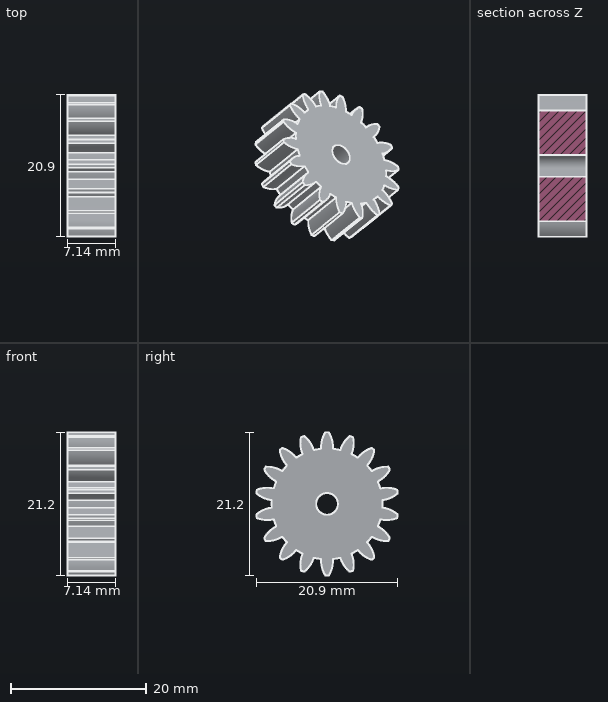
import cadquery as cq
import math

INCH = 25.4
TOOTH_COUNT = 18
DIAMETRAL_PITCH = 24 / INCH
FACE_WIDTH = 9 / 32 * INCH
BORE_DIAMETER = INCH / 8

MODULE = 1 / DIAMETRAL_PITCH
ADDENDUM = MODULE
DEDENDUM = 1.25 * MODULE
PITCH_RADIUS = TOOTH_COUNT * MODULE / 2
TIP_RADIUS = PITCH_RADIUS + ADDENDUM
ROOT_RADIUS = PITCH_RADIUS - DEDENDUM

TIP_THICKNESS = 0.53
PITCH_THICKNESS = 1.49
ROOT_THICKNESS = 1.79

TOOTH_OVERLAP = 0.5


def height_on_circle(radius, half_thickness):
    """Distance from the gear axis, along the tooth, of a flank point on a circle."""
    return math.sqrt(radius**2 - half_thickness**2)


def make_body():
    """Plain disc up to the root circle, centred on the origin."""
    return cq.Workplane("YZ").circle(ROOT_RADIUS).extrude(FACE_WIDTH / 2, both=True)


def make_tooth():
    """One tooth pointing along +Z, with rounded flanks and its tip on the outer circle."""
    tip_half = TIP_THICKNESS / 2
    pitch_half = PITCH_THICKNESS / 2
    root_half = ROOT_THICKNESS / 2
    tip_height = height_on_circle(TIP_RADIUS, tip_half)
    pitch_height = height_on_circle(PITCH_RADIUS, pitch_half)
    root_height = height_on_circle(ROOT_RADIUS, root_half)
    base_height = root_height - TOOTH_OVERLAP
    return (
        cq.Workplane("YZ")
        .moveTo(-root_half, base_height)
        .lineTo(-root_half, root_height)
        .threePointArc((-pitch_half, pitch_height), (-tip_half, tip_height))
        .threePointArc((0, TIP_RADIUS), (tip_half, tip_height))
        .threePointArc((pitch_half, pitch_height), (root_half, root_height))
        .lineTo(root_half, base_height)
        .close()
        .extrude(FACE_WIDTH / 2, both=True)
    )


def make_bore():
    """Cylinder for the shaft hole through the full face width."""
    return cq.Workplane("YZ").circle(BORE_DIAMETER / 2).extrude(FACE_WIDTH / 2, both=True)


def make_gear():
    """Gear body with evenly spaced teeth and a through bore."""
    gear = make_body()
    tooth = make_tooth()
    for index in range(TOOTH_COUNT):
        angle = index * 360 / TOOTH_COUNT
        gear = gear.union(tooth.rotate((0, 0, 0), (1, 0, 0), angle))
    return gear.cut(make_bore())


result = make_gear()